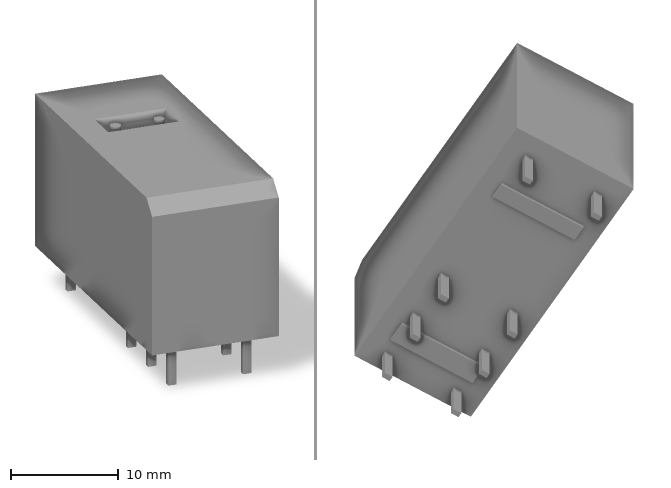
import cadquery as cq
import math

LENGTH = 29.0
WIDTH = 12.7
TOTAL_HEIGHT = 19.2
PIN_LENGTH = 3.9
BODY_HEIGHT = TOTAL_HEIGHT - PIN_LENGTH
END_CHAMFER = 1.4

PIN_X_POSITIONS = (2.38, 17.37, 22.4, 27.38)
PIN_ROW_SPACING = 7.5
PIN_THICKNESS = 0.52
PIN_WIDTH = 0.85

STANDOFFS = ((6.6, 1.57), (24.6, 2.03))
STANDOFF_WIDTH = 8.9
STANDOFF_HEIGHT = 0.38

RECESS_X = 9.6
RECESS_LENGTH = 3.48
RECESS_WIDTH = 7.22
RECESS_DEPTH = 0.6
RECESS_WALL_INSET = 0.44
STUD_SPACING = 4.38
STUD_HEIGHT = 0.44
REAR_STUD_DIAMETER = 1.0
FRONT_STUD_DIAMETER = 1.07


def make_housing():
    """Rectangular block with the upper +X edge chamfered."""
    block = cq.Workplane("XY").box(LENGTH, WIDTH, BODY_HEIGHT, centered=(False, True, False))
    return block.edges(">X and >Z").chamfer(END_CHAMFER)


def hanging_block(x, y, length, width, height):
    """Block hanging from the underside of the housing."""
    return cq.Workplane("XY").center(x, y).rect(length, width).extrude(-height)


def make_recess():
    """Cutter that narrows from the top face down to the recess floor."""
    wall_angle = math.degrees(math.atan2(RECESS_WALL_INSET, RECESS_DEPTH))
    opening = cq.Workplane("XY", origin=(RECESS_X, 0, BODY_HEIGHT)).rect(RECESS_LENGTH, RECESS_WIDTH)
    return opening.extrude(-RECESS_DEPTH, taper=wall_angle)


def make_stud(y, diameter):
    """Round stud standing on the recess floor."""
    floor = cq.Workplane("XY", origin=(RECESS_X, y, BODY_HEIGHT - RECESS_DEPTH))
    return floor.circle(diameter / 2).extrude(STUD_HEIGHT)


result = make_housing().cut(make_recess())
result = result.union(make_stud(STUD_SPACING / 2, REAR_STUD_DIAMETER))
result = result.union(make_stud(-STUD_SPACING / 2, FRONT_STUD_DIAMETER))

for standoff_x, standoff_length in STANDOFFS:
    result = result.union(hanging_block(standoff_x, 0, standoff_length, STANDOFF_WIDTH, STANDOFF_HEIGHT))

for pin_x in PIN_X_POSITIONS:
    for pin_y in (-PIN_ROW_SPACING / 2, PIN_ROW_SPACING / 2):
        result = result.union(hanging_block(pin_x, pin_y, PIN_THICKNESS, PIN_WIDTH, PIN_LENGTH))